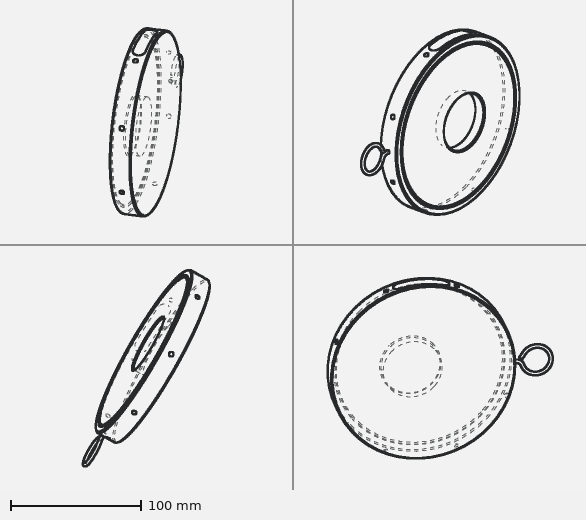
import cadquery as cq
import math

overall_length = 174.8
disc_diameter = 144.0
disc_width = 17.0
edge_chamfer = 1.0

groove_mid_diameter = 132.0
groove_depth = 1.0

bore_diameter = 46.0
bore_depth = 9.1
bore_chamfer = 1.0
bore_offset = -7.0

dimple_count = 8
dimple_diameter = 3.7
dimple_depth = 1.7
dimple_overrun = 0.9

pad_length = 44.0
pad_width = 10.0
pad_height = 0.1

wire_diameter = 3.0
eye_inner_diameter = 20.0
stem_length = 2.1
stem_embed = 1.7
free_end_angle = 33.0
free_end_length = 4.7

disc_radius = disc_diameter / 2
face_x = -disc_width / 2


def x_cylinder(diameter, width, start_x, center_y=0.0):
    """Cylinder along +X that starts at start_x."""
    plane = cq.Workplane("YZ", origin=(start_x, center_y, 0))
    return plane.circle(diameter / 2).extrude(width)


def make_disc():
    return x_cylinder(disc_diameter, disc_width, face_x).edges().chamfer(edge_chamfer)


def make_groove():
    """Ring with a triangular section, 90 degrees between its walls."""
    mid_radius = groove_mid_diameter / 2
    section = cq.Workplane("XY").polyline([
        (face_x, mid_radius - groove_depth),
        (face_x + groove_depth, mid_radius),
        (face_x, mid_radius + groove_depth),
    ]).close()
    return section.revolve(360, (0, 0, 0), (1, 0, 0))


def make_bore():
    """Bore with a chamfered mouth."""
    bore = x_cylinder(bore_diameter, bore_depth, face_x, bore_offset)
    mouth_plane = cq.Workplane("YZ", origin=(face_x, bore_offset, 0))
    mouth = (
        mouth_plane.circle(bore_diameter / 2 + bore_chamfer)
        .workplane(offset=bore_chamfer)
        .circle(bore_diameter / 2)
        .loft()
    )
    return bore.union(mouth)


def make_dimple(angle):
    """Cone pointing at the disc axis, at an angle from +Y towards +Z."""
    direction = cq.Vector(0, math.cos(math.radians(angle)), math.sin(math.radians(angle)))
    cone_height = dimple_depth + dimple_overrun
    cone_radius = dimple_diameter / 2 * cone_height / dimple_depth
    apex = direction * (disc_radius - dimple_depth)
    return cq.Workplane(cq.Solid.makeCone(0, cone_radius, cone_height, apex, direction))


def make_pad():
    """Rounded pad that follows the rim, standing just proud of it."""
    outline = cq.Workplane("XY").slot2D(pad_length, pad_width, 90).extrude(disc_diameter)
    return outline.intersect(x_cylinder(disc_diameter + 2 * pad_height, disc_width, face_x))


def make_eye():
    """Bent wire: stem, reverse bend, open loop and straight free end."""
    loop_radius = (eye_inner_diameter + wire_diameter) / 2
    loop_y = overall_length - disc_radius - loop_radius - wire_diameter / 2
    bend_y = disc_radius + stem_length

    gap = loop_y - bend_y
    bend_radius = (gap**2 - loop_radius**2) / (2 * loop_radius)
    bend_angle = math.atan2(gap, bend_radius)
    bend_mid = (
        bend_y + bend_radius * math.sin(bend_angle / 2),
        bend_radius * (math.cos(bend_angle / 2) - 1),
    )
    loop_start = (
        bend_y + bend_radius * math.sin(bend_angle),
        bend_radius * (math.cos(bend_angle) - 1),
    )

    end_angle = math.radians(free_end_angle)
    loop_end = (
        loop_y - loop_radius * math.cos(end_angle),
        loop_radius * math.sin(end_angle),
    )
    free_end = (
        loop_end[0] - free_end_length * math.sin(end_angle),
        loop_end[1] - free_end_length * math.cos(end_angle),
    )

    stem_start = disc_radius - stem_embed
    path = (
        cq.Workplane("YZ")
        .moveTo(stem_start, 0)
        .lineTo(bend_y, 0)
        .threePointArc(bend_mid, loop_start)
        .threePointArc((loop_y + loop_radius, 0), loop_end)
        .lineTo(*free_end)
    )
    wire_section = cq.Workplane("XZ", origin=(0, stem_start, 0)).circle(wire_diameter / 2)
    return wire_section.sweep(path)


result = make_disc().union(make_pad()).union(make_eye())
result = result.cut(make_groove()).cut(make_bore())

dimple_step = 360 / dimple_count
for index in range(dimple_count):
    result = result.cut(make_dimple((index + 0.5) * dimple_step))